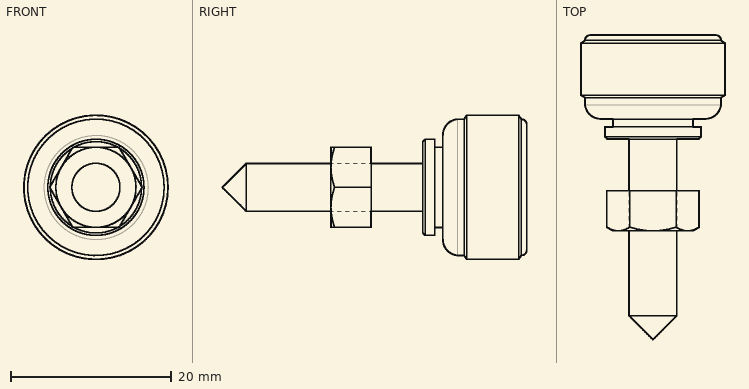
import cadquery as cq
import math

LENGTH = 38.0

DRUM_RADIUS = 9.0
DRUM_BACK_Y = -0.7
DRUM_FRONT_Y = -7.83
DRUM_CHAMFER_LENGTH = 0.35
SHOULDER_RADIUS = 8.5
SHOULDER_FRONT_Y = -10.5
SHOULDER_ROUND_WIDTH = 2.0
SHOULDER_ROUND_DEPTH = 1.8
BACK_FILLET = -DRUM_BACK_Y

NECK_RADIUS = 5.0
COLLAR_RADIUS = 6.0
COLLAR_BACK_Y = -11.48
COLLAR_FRONT_Y = -13.0
COLLAR_CHAMFER = 0.3
ROD_RADIUS = 3.0
POINT_LENGTH = ROD_RADIUS

NUT_ACROSS_FLATS = 10.0
NUT_BACK_Y = -19.4
NUT_THICKNESS = 5.0
NUT_CHAMFER_ANGLE = 30.0


def make_stud():
    """Head, neck, collar and pointed rod, turned in one profile about Y."""
    back_fillet_offset = BACK_FILLET * (1 - math.sqrt(0.5))

    arc_radius = (SHOULDER_ROUND_WIDTH**2 + SHOULDER_ROUND_DEPTH**2) / (2 * SHOULDER_ROUND_DEPTH)
    arc_center_x = SHOULDER_RADIUS - SHOULDER_ROUND_WIDTH
    arc_center_y = SHOULDER_FRONT_Y + arc_radius
    start_angle = math.acos(SHOULDER_ROUND_WIDTH / arc_radius)
    middle_angle = (start_angle + math.pi / 2) / 2
    arc_middle = (
        arc_center_x + arc_radius * math.cos(middle_angle),
        arc_center_y - arc_radius * math.sin(middle_angle),
    )

    profile = (
        cq.Workplane("XY")
        .lineTo(SHOULDER_RADIUS - BACK_FILLET, 0)
        .threePointArc(
            (SHOULDER_RADIUS - back_fillet_offset, -back_fillet_offset),
            (SHOULDER_RADIUS, DRUM_BACK_Y),
        )
        .lineTo(DRUM_RADIUS, DRUM_BACK_Y - DRUM_CHAMFER_LENGTH)
        .lineTo(DRUM_RADIUS, DRUM_FRONT_Y + DRUM_CHAMFER_LENGTH)
        .lineTo(SHOULDER_RADIUS, DRUM_FRONT_Y)
        .lineTo(SHOULDER_RADIUS, SHOULDER_FRONT_Y + SHOULDER_ROUND_DEPTH)
        .threePointArc(arc_middle, (arc_center_x, SHOULDER_FRONT_Y))
        .lineTo(NECK_RADIUS, SHOULDER_FRONT_Y)
        .lineTo(NECK_RADIUS, COLLAR_BACK_Y)
        .lineTo(COLLAR_RADIUS, COLLAR_BACK_Y)
        .lineTo(COLLAR_RADIUS, COLLAR_FRONT_Y + COLLAR_CHAMFER)
        .lineTo(COLLAR_RADIUS - COLLAR_CHAMFER, COLLAR_FRONT_Y)
        .lineTo(ROD_RADIUS, COLLAR_FRONT_Y)
        .lineTo(ROD_RADIUS, -LENGTH + POINT_LENGTH)
        .lineTo(0, -LENGTH)
        .close()
    )
    return profile.revolve(360, (0, 0, 0), (0, 1, 0))


def make_nut():
    """Hexagonal nut with corners on the X axis, chamfered on its front face."""
    corner_radius = NUT_ACROSS_FLATS / math.sqrt(3)
    face_radius = NUT_ACROSS_FLATS / 2
    front_y = NUT_BACK_Y - NUT_THICKNESS
    chamfer_depth = (corner_radius - face_radius) * math.tan(math.radians(NUT_CHAMFER_ANGLE))

    hexagon = (
        cq.Workplane("XZ", origin=(0, NUT_BACK_Y, 0))
        .polygon(6, 2 * corner_radius)
        .extrude(NUT_THICKNESS)
    )
    envelope = (
        cq.Workplane("XY")
        .moveTo(ROD_RADIUS, NUT_BACK_Y)
        .lineTo(corner_radius, NUT_BACK_Y)
        .lineTo(corner_radius, front_y + chamfer_depth)
        .lineTo(face_radius, front_y)
        .lineTo(ROD_RADIUS, front_y)
        .close()
        .revolve(360, (0, 0, 0), (0, 1, 0))
    )
    return hexagon.intersect(envelope)


stud = make_stud()
nut = make_nut()
result = cq.Compound.makeCompound([stud.val(), nut.val()])